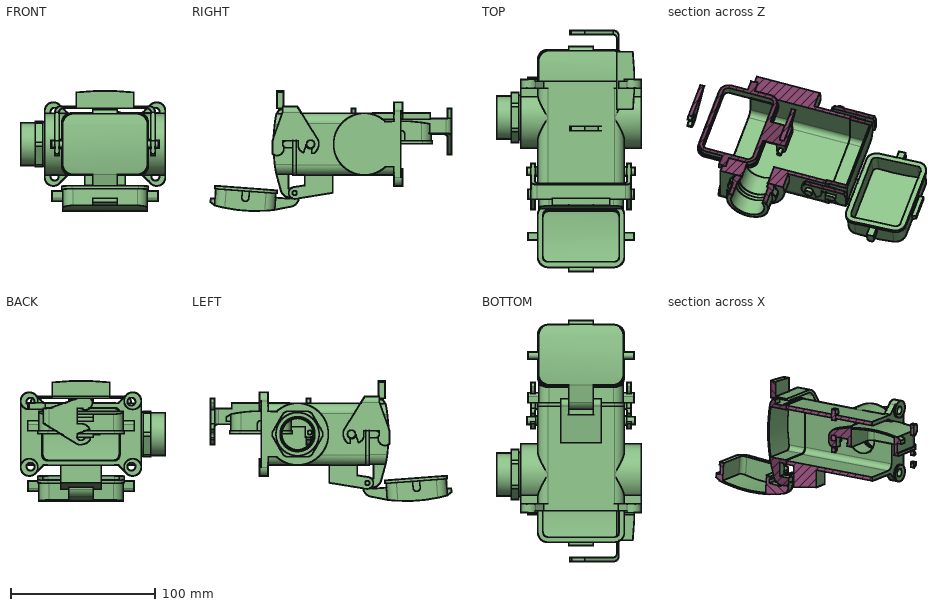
import cadquery as cq
import math


HALF_LENGTH = 41.9
BODY_WIDTH = 60.2
BODY_HEIGHT = 42.9
BODY_CORNER = 7.1
WALL = 3.0
FRONT_Y = -47.5
FLANGE_FRONT_Y = 20.4
FLANGE_REAR_Y = 25.3
PAD_REAR_Y = 26.5
EAR_RADIUS = 6.0
EAR_X = HALF_LENGTH - EAR_RADIUS
EAR_Z = 23.1
MOUNT_X = 35.0
MOUNT_Z = 22.5
MOUNT_HOLE = 5.5
BLOCK_HALF_HEIGHT = 15.8

PIVOT_Y = -37.4
PIVOT_DIAMETER = 5.5
PIVOT_TIP_X = 37.6
PIVOT_COLLAR = 6.5
PIVOT_COLLAR_X = 31.6

HINGE_Y = -48.45
HINGE_Z = -33.9
HINGE_HOLE = 3.2
LUG_RADIUS = 4.2
LUG_SLOPE = math.radians(9.2)
LUG_HALF_WIDTH = 14.15
LUG_BLOCK_REAR_Y = -22.0
LUG_SLOT_Y = -41.5

BOSS_BORE = 21.8
COLLAR_DIAMETER = 31.0
NUT_FLATS = 31.6
NUT_CORNERS = 35.0
NUT_INNER_X = -43.2
NUT_OUTER_X = -48.6
GLAND_TIP_X = -58.6
GLAND_DIAMETER = 30.0
GLAND_BORE = 24.24
GLAND_NECK_BORE = 22.4
GLAND_STEP_X = -46.2
GLAND_NECK_X = -44.4

LID_RIM_WIDTH = BODY_WIDTH
LID_RIM_HEIGHT = 43.4
LID_RIM_DEPTH = 2.2
LID_RIM_STEP = 0.7
LID_RIM_WALL = 3.7
LID_DEPTH = 15.9
LID_FLOOR = 1.5
DOME_RADIUS = 102.6
CATCH_DIAMETER = 4.9
CATCH_LENGTH = 7.1
CATCH_TIP_X = 36.9
TAB_HALF_WIDTH = 8.6
TAB_NEAR = 8.95
TAB_TIP_FAR = 11.7
TAB_ROOT_FAR = 13.6
TAB_TIP_Z = 24.0
ARM_INNER_DEPTH = 5.1
ARM_BEND_Y = -57.9
ARM_BEND_Z = -33.0
ARM_TOE = (-55.6, -35.8)
BARREL_RADIUS = 3.25
LID_PIN_DIAMETER = 3.0
LID_PIN_TIP_X = 13.0
LID_OPEN_ANGLE = 85.7
REAR_LID_SHIFT = (0, 40.0, 35.0)

LEVER_WIDTH = 69.6
LEVER_TOP_Z = 26.3
LEVER_ARM = 3.0
LEVER_BAR = 1.5
LEVER_BEND = 4.0
LEVER_INNER_BEND = 2.5
LEVER_FRONT_Y = -63.9
LEVER_BOTTOM_Z = -7.9
LEVER_REAR_Y = -31.5
LEVER_TOP_REAR_Y = -46.7
LEVER_TOP_FRONT_Y = -56.8
FRONT_EDGE_TOP_Z = 2.5
FRONT_EDGE_BOTTOM_Z = -6.8
FINGER_TIP_Y = -60.3
NOTCH_REAR_Y = -46.1
TOOTH_ROUND_Z = -1.5
TOOTH_ROUND_MIDDLE = (-44.6, -4.4)
TOOTH_TIP = (-42.4, -6.0)
CATCH_GRIP_ANGLE = 225
SEAT_END_ANGLE = -72
HOOK_INNER_Y = -36.6
HOOK_OUTER_Y = -35.2
HOOK_TIP_Z = -6.5
HOOK_BACK_MIDDLE = (-32.4, -3.0)
HOOK_BACK_TOP = (-32.0, 2.6)
HANDLE_REAR_Y = -56.2
HANDLE_FRONT_Y = -60.75
HANDLE_HALF_WIDTH = 20.0
HANDLE_BOTTOM_Z = LEVER_TOP_Z - LEVER_BAR
HANDLE_SIDE_Z = 36.0
HANDLE_TOP_Z = 37.1
REAR_LEVER_SHIFT = (0, 25.72, -39.0)


def box(x_range, y_range, z_range):
    """Box between the given limits."""
    sides = [high - low for low, high in (x_range, y_range, z_range)]
    corner = (x_range[0], y_range[0], z_range[0])
    return cq.Workplane("XY").box(*sides, centered=False).translate(corner)


def rod_x(diameter, x_start, x_end, y=0, z=0):
    """Cylinder along X."""
    plane = cq.Plane(origin=(x_start, y, z), xDir=(0, 1, 0), normal=(1, 0, 0))
    return cq.Workplane(plane).circle(diameter / 2).extrude(x_end - x_start)


def rounded_bar_y(width, height, corner, y_rear, y_front):
    """Rounded rectangle in XZ, running from y_rear towards -Y."""
    bar = cq.Workplane("XZ", origin=(0, y_rear, 0)).rect(width, height).extrude(y_rear - y_front)
    return bar.edges("|Y").fillet(corner)


def mirrored_x(solid):
    """The solid together with its mirror image about X = 0."""
    return solid.union(solid.mirror("YZ"))


def mounting_ear():
    """Ear at +X +Z: round end, 45 degree inner flank and round rear pad."""
    offset = EAR_RADIUS * math.sqrt(0.5)
    flank_x = EAR_X - offset
    flank_z = EAR_Z + offset
    ear = (
        cq.Workplane("XZ", origin=(0, FLANGE_REAR_Y, 0))
        .moveTo(flank_x - flank_z, 0)
        .lineTo(flank_x, flank_z)
        .threePointArc((EAR_X + offset, flank_z), (HALF_LENGTH, EAR_Z))
        .lineTo(HALF_LENGTH, 0)
        .close()
        .extrude(FLANGE_REAR_Y - FLANGE_FRONT_Y)
    )
    pad = (
        cq.Workplane("XZ", origin=(0, PAD_REAR_Y, 0))
        .moveTo(flank_x, flank_z)
        .threePointArc((EAR_X + offset, flank_z), (HALF_LENGTH, EAR_Z))
        .threePointArc((flank_x, EAR_Z - offset), (flank_x, flank_z))
        .close()
        .extrude(PAD_REAR_Y - FLANGE_REAR_Y)
    )
    return ear.union(pad)


def hinge_lugs():
    """Block below the housing that narrows into two lugs around the hinge axis."""
    rise = math.tan(LUG_SLOPE)
    normal_y = LUG_RADIUS * math.sin(LUG_SLOPE)
    normal_z = LUG_RADIUS * math.cos(LUG_SLOPE)
    lower = (HINGE_Y + normal_y, HINGE_Z - normal_z)
    upper = (HINGE_Y - normal_y, HINGE_Z + normal_z)
    tip = (HINGE_Y - LUG_RADIUS * math.cos(LUG_SLOPE), HINGE_Z - LUG_RADIUS * math.sin(LUG_SLOPE))
    block_base_z = -BODY_HEIGHT / 2 + WALL / 2
    lugs = (
        cq.Workplane("YZ", origin=(-LUG_HALF_WIDTH, 0, 0))
        .moveTo(LUG_BLOCK_REAR_Y, block_base_z)
        .lineTo(LUG_BLOCK_REAR_Y, lower[1] + (LUG_BLOCK_REAR_Y - lower[0]) * rise)
        .lineTo(*lower)
        .threePointArc(tip, upper)
        .lineTo(LUG_SLOT_Y, upper[1] + (LUG_SLOT_Y - upper[0]) * rise)
        .lineTo(LUG_SLOT_Y, block_base_z)
        .close()
        .extrude(2 * LUG_HALF_WIDTH)
    )
    slot = box((-TAB_HALF_WIDTH, TAB_HALF_WIDTH), (HINGE_Y - 2 * LUG_RADIUS, LUG_SLOT_Y),
               (HINGE_Z - 2 * LUG_RADIUS, block_base_z))
    hole = rod_x(HINGE_HOLE, -LUG_HALF_WIDTH, LUG_HALF_WIDTH, HINGE_Y, HINGE_Z)
    return lugs.cut(slot).cut(hole)


def make_housing():
    """Hollow body with flange, gland bosses, lever pins and hinge lugs."""
    body = rounded_bar_y(BODY_WIDTH, BODY_HEIGHT, BODY_CORNER, FLANGE_REAR_Y, FRONT_Y)
    flange = box((-HALF_LENGTH, HALF_LENGTH), (FLANGE_FRONT_Y, FLANGE_REAR_Y),
                 (-BODY_HEIGHT / 2, BODY_HEIGHT / 2))
    boss = rod_x(BODY_HEIGHT, -HALF_LENGTH, HALF_LENGTH)
    block = box((-HALF_LENGTH, HALF_LENGTH), (0, FLANGE_FRONT_Y), (-BLOCK_HALF_HEIGHT, BLOCK_HALF_HEIGHT))
    housing = body.union(flange).union(boss).union(block).union(hinge_lugs())

    mount_holes = (
        cq.Workplane("XZ", origin=(0, PAD_REAR_Y, 0))
        .rect(2 * MOUNT_X, 2 * MOUNT_Z, forConstruction=True)
        .vertices()
        .circle(MOUNT_HOLE / 2)
        .extrude(PAD_REAR_Y - FLANGE_FRONT_Y)
    )
    upper_ears = mirrored_x(mounting_ear())
    ears = upper_ears.union(upper_ears.mirror("XY"))
    housing = housing.union(ears).cut(mount_holes)

    inner_x = BODY_WIDTH / 2 - WALL
    collar = rod_x(PIVOT_COLLAR, inner_x, PIVOT_COLLAR_X, PIVOT_Y)
    pin = rod_x(PIVOT_DIAMETER, inner_x, PIVOT_TIP_X, PIVOT_Y)
    housing = housing.union(mirrored_x(collar.union(pin)))

    passage = rounded_bar_y(BODY_WIDTH - 2 * WALL, BODY_HEIGHT - 2 * WALL, BODY_CORNER - WALL,
                            PAD_REAR_Y, FRONT_Y)
    gland_bore = rod_x(BOSS_BORE, -HALF_LENGTH, 0)
    return housing.cut(passage).cut(gland_bore)


def make_gland():
    """Cable gland on the -X boss: collar, hexagon and barrel."""
    collar = rod_x(COLLAR_DIAMETER, NUT_INNER_X, -HALF_LENGTH)
    hexagon = (
        cq.Workplane("YZ", origin=(NUT_OUTER_X, 0, 0))
        .polygon(6, NUT_FLATS / math.cos(math.pi / 6))
        .extrude(NUT_INNER_X - NUT_OUTER_X)
        .intersect(rod_x(NUT_CORNERS, NUT_OUTER_X, NUT_INNER_X))
    )
    barrel = rod_x(GLAND_DIAMETER, GLAND_TIP_X, NUT_OUTER_X)
    bore = (
        cq.Workplane("XY")
        .moveTo(GLAND_TIP_X, 0)
        .lineTo(GLAND_TIP_X, GLAND_BORE / 2)
        .lineTo(GLAND_STEP_X, GLAND_BORE / 2)
        .lineTo(GLAND_NECK_X, GLAND_NECK_BORE / 2)
        .lineTo(-HALF_LENGTH, GLAND_NECK_BORE / 2)
        .lineTo(-HALF_LENGTH, 0)
        .close()
        .revolve(360, (0, 0, 0), (1, 0, 0))
    )
    return collar.union(hexagon).union(barrel).cut(bore)


def dome_centre_y():
    """Y of the axis shared by the outer and inner curved faces of a closed lid."""
    return FRONT_Y - LID_DEPTH + DOME_RADIUS


def dome(radius):
    """Cylinder along X that limits the outer or inner curved face of a closed lid."""
    return rod_x(2 * radius, -HALF_LENGTH, HALF_LENGTH, dome_centre_y())


def lid_hinge_arm():
    """Arm below a closed lid that ends in the hinge barrel and its pin."""
    inner_y = FRONT_Y - ARM_INNER_DEPTH
    barrel_back_y = HINGE_Y + BARREL_RADIUS
    barrel_top_z = HINGE_Z + BARREL_RADIUS
    diagonal = BARREL_RADIUS * math.sqrt(0.5)
    wall_edge_z = LID_RIM_STEP - LID_RIM_HEIGHT / 2
    dome_edge_y = dome_centre_y() - math.sqrt(DOME_RADIUS**2 - wall_edge_z**2)
    attach_z = wall_edge_z + LID_RIM_WALL / 2
    floor_y = FRONT_Y - TAB_ROOT_FAR
    arm = (
        cq.Workplane("YZ", origin=(-TAB_HALF_WIDTH, 0, 0))
        .moveTo(inner_y, attach_z)
        .lineTo(inner_y, barrel_top_z)
        .lineTo(barrel_back_y, barrel_top_z)
        .lineTo(barrel_back_y, HINGE_Z)
        .threePointArc((HINGE_Y + diagonal, HINGE_Z - diagonal), (HINGE_Y, HINGE_Z - BARREL_RADIUS))
        .lineTo(inner_y, HINGE_Z - BARREL_RADIUS)
        .threePointArc(ARM_TOE, (ARM_BEND_Y, ARM_BEND_Z))
        .lineTo(dome_edge_y, wall_edge_z)
        .lineTo(floor_y, attach_z)
        .close()
        .extrude(2 * TAB_HALF_WIDTH)
    )
    return arm.union(rod_x(LID_PIN_DIAMETER, -LID_PIN_TIP_X, LID_PIN_TIP_X, HINGE_Y, HINGE_Z))


def make_lid():
    """Lid closed on the front face of the housing, hinge at the bottom."""
    wall_width = LID_RIM_WIDTH - 2 * LID_RIM_STEP
    wall_height = LID_RIM_HEIGHT - 2 * LID_RIM_STEP
    deepest_y = FRONT_Y - LID_DEPTH
    rim = rounded_bar_y(LID_RIM_WIDTH, LID_RIM_HEIGHT, BODY_CORNER, FRONT_Y, FRONT_Y - LID_RIM_DEPTH)
    walls = rounded_bar_y(wall_width, wall_height, BODY_CORNER, FRONT_Y, deepest_y)
    tab = (
        cq.Workplane("YZ", origin=(-TAB_HALF_WIDTH, 0, 0))
        .moveTo(FRONT_Y - TAB_NEAR, wall_height / 2 - LID_RIM_WALL / 2)
        .lineTo(FRONT_Y - TAB_NEAR, TAB_TIP_Z)
        .lineTo(FRONT_Y - TAB_TIP_FAR, TAB_TIP_Z)
        .lineTo(FRONT_Y - TAB_ROOT_FAR, wall_height / 2)
        .lineTo(FRONT_Y - TAB_ROOT_FAR, wall_height / 2 - LID_RIM_WALL / 2)
        .close()
        .extrude(2 * TAB_HALF_WIDTH)
    )
    outside = rim.union(walls).union(tab).intersect(dome(DOME_RADIUS)).union(lid_hinge_arm())

    cavity = rounded_bar_y(LID_RIM_WIDTH - 2 * LID_RIM_WALL, LID_RIM_HEIGHT - 2 * LID_RIM_WALL,
                           BODY_CORNER - LID_RIM_WALL, FRONT_Y, deepest_y)
    lid = outside.cut(cavity.intersect(dome(DOME_RADIUS - LID_FLOOR)))

    catch_root_x = LID_RIM_WIDTH / 2 - LID_RIM_WALL
    catch_y = FRONT_Y - LID_RIM_DEPTH - CATCH_LENGTH + CATCH_DIAMETER / 2
    catch = rod_x(CATCH_DIAMETER, catch_root_x, CATCH_TIP_X, catch_y)
    catch = catch.union(box((catch_root_x, CATCH_TIP_X), (catch_y, FRONT_Y - LID_RIM_DEPTH),
                            (-CATCH_DIAMETER / 2, CATCH_DIAMETER / 2)))
    return lid.union(mirrored_x(catch))


def on_circle(centre_y, radius, angle):
    """Point in YZ on a circle centred at Z = 0, angle in degrees from +Y."""
    turn = math.radians(angle)
    return (centre_y + radius * math.cos(turn), radius * math.sin(turn))


def lever_side_profile():
    """Side outline of a lever: hooks over the housing pin and over the lid catch."""
    pin_radius = PIVOT_DIAMETER / 2
    catch_radius = CATCH_DIAMETER / 2
    catch_y = FRONT_Y - LID_RIM_DEPTH - CATCH_LENGTH + catch_radius
    return (
        cq.Workplane("YZ", origin=(-LEVER_WIDTH / 2, 0, 0))
        .moveTo(LEVER_TOP_REAR_Y, LEVER_TOP_Z)
        .lineTo(LEVER_TOP_FRONT_Y, LEVER_TOP_Z)
        .lineTo(LEVER_TOP_FRONT_Y, LEVER_TOP_Z - LEVER_BEND)
        .lineTo(LEVER_FRONT_Y, FRONT_EDGE_TOP_Z)
        .lineTo(LEVER_FRONT_Y, FRONT_EDGE_BOTTOM_Z)
        .threePointArc((FINGER_TIP_Y, LEVER_BOTTOM_Z), on_circle(catch_y, catch_radius, CATCH_GRIP_ANGLE))
        .threePointArc(on_circle(catch_y, catch_radius, (CATCH_GRIP_ANGLE + 180) / 2),
                       (catch_y - catch_radius, 0))
        .lineTo(catch_y - catch_radius, catch_radius)
        .lineTo(NOTCH_REAR_Y, catch_radius)
        .lineTo(NOTCH_REAR_Y, TOOTH_ROUND_Z)
        .threePointArc(TOOTH_ROUND_MIDDLE, TOOTH_TIP)
        .lineTo(PIVOT_Y - pin_radius, 0)
        .threePointArc((PIVOT_Y, pin_radius), (PIVOT_Y + pin_radius, 0))
        .threePointArc(on_circle(PIVOT_Y, pin_radius, SEAT_END_ANGLE / 2),
                       on_circle(PIVOT_Y, pin_radius, SEAT_END_ANGLE))
        .lineTo(HOOK_INNER_Y, HOOK_TIP_Z)
        .lineTo(HOOK_OUTER_Y, HOOK_TIP_Z)
        .threePointArc(HOOK_BACK_MIDDLE, HOOK_BACK_TOP)
        .close()
        .extrude(LEVER_WIDTH)
    )


def make_lever():
    """Lever locking the closed front lid: two arms, a cross bar and a handle."""
    height = LEVER_TOP_Z - LEVER_BOTTOM_Z
    mid_z = (LEVER_TOP_Z + LEVER_BOTTOM_Z) / 2
    depth = LEVER_REAR_Y - LEVER_FRONT_Y
    frame = (
        cq.Workplane("XZ", origin=(0, LEVER_REAR_Y, mid_z))
        .rect(LEVER_WIDTH, height)
        .extrude(depth)
        .edges("|Y and >Z")
        .fillet(LEVER_BEND)
    )
    opening = (
        cq.Workplane("XZ", origin=(0, LEVER_REAR_Y, mid_z - LEVER_BAR))
        .rect(LEVER_WIDTH - 2 * LEVER_ARM, height)
        .extrude(depth)
        .edges("|Y and >Z")
        .fillet(LEVER_INNER_BEND)
    )
    handle = (
        cq.Workplane("XZ", origin=(0, HANDLE_REAR_Y, 0))
        .moveTo(-HANDLE_HALF_WIDTH, HANDLE_BOTTOM_Z)
        .lineTo(-HANDLE_HALF_WIDTH, HANDLE_SIDE_Z)
        .threePointArc((0, HANDLE_TOP_Z), (HANDLE_HALF_WIDTH, HANDLE_SIDE_Z))
        .lineTo(HANDLE_HALF_WIDTH, HANDLE_BOTTOM_Z)
        .close()
        .extrude(HANDLE_REAR_Y - HANDLE_FRONT_Y)
    )
    return frame.cut(opening).intersect(lever_side_profile()).union(handle)


def turned_x(solid, angle, pivot=(0, 0, 0)):
    """The solid turned about an axis along X through the pivot."""
    return solid.rotate(pivot, (pivot[0] + 1, pivot[1], pivot[2]), angle)


front_lid = make_lid()
hinge = (0, HINGE_Y, HINGE_Z)

open_lid = turned_x(make_lid(), LID_OPEN_ANGLE, hinge).cut(front_lid).solids("<Y")
rear_lid = turned_x(make_lid(), -90, hinge).translate(REAR_LID_SHIFT)

front_lever = make_lever()
rear_lever = turned_x(make_lever().rotate((0, 0, 0), (0, 1, 0), 90), -90).translate(REAR_LEVER_SHIFT)

rear_lid = rear_lid.cut(rear_lever)
housing = make_housing().cut(rear_lid).cut(rear_lever)
gland = make_gland()

result = cq.Compound.makeCompound([
    housing.val(),
    gland.val(),
    front_lid.val(),
    open_lid.val(),
    rear_lid.val(),
    front_lever.val(),
    rear_lever.val(),
])